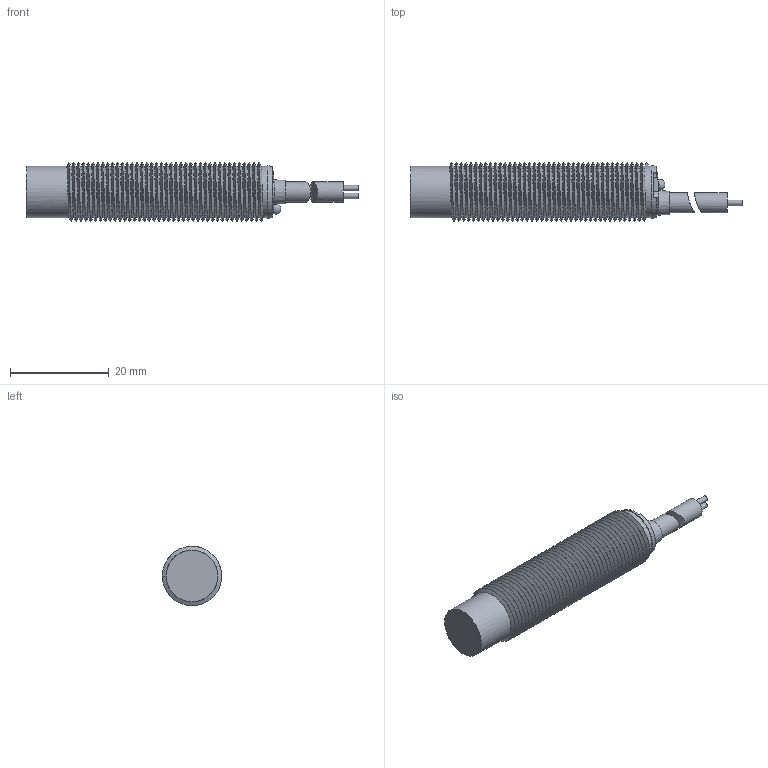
import cadquery as cq
import math


CORE_RADIUS = 5.25
THREAD_RADIUS = 6.03
THREAD_PITCH = 0.99
TURNS_PER_SECTION = 2
THREAD_SECTIONS = 20
SECTION_LENGTH = THREAD_PITCH * TURNS_PER_SECTION
THREAD_START = 8.43
THREAD_BASE_WIDTH = 0.84
THREAD_ROOT_OVERLAP = 0.1

COLLAR_START = 49.0
COLLAR_RADIUS = 5.38
COLLAR_END = 50.0
COLLAR_END_RADIUS = 5.23
DOME_TIP = 50.45

NOTCH_FLOOR = 49.4
NOTCH_Y_MIN = -1.1
NOTCH_Y_MAX = 2.92
NOTCH_Z_MIN = 1.0
ROUND_NOTCH_RADIUS = 1.0
ROUND_NOTCH_Y = 3.3
ROUND_NOTCH_Z = 4.2

LAMP_RADIUS = 1.08
LAMP_TIP = 51.75
LAMP_Y = 1.5
LAMP_Z = -3.4

CABLE_Y = -2.2
BUSHING_BASE_RADIUS = 2.52
BUSHING_TIP_RADIUS = 2.36
BUSHING_TAPER_START = DOME_TIP
BUSHING_END = 52.67
CABLE_RADIUS = 2.05

BREAK_START = 56.33
BREAK_MIDDLE_OFFSET = 0.45
BREAK_SLANT = 1.5
BREAK_GAP = 1.4

OVERALL_LENGTH = 67.39
WIRE_LENGTH = 3.0
WIRE_RADIUS = 0.55
WIRE_SPACING = 1.6
CABLE_END = OVERALL_LENGTH - WIRE_LENGTH


def rod(start, end, radius, y=0.0, z=0.0):
    """Cylinder along X between two X positions."""
    return cq.Workplane("YZ", origin=(start, y, z)).circle(radius).extrude(end - start)


def make_barrel():
    """Core, collar and dome, turned about the X axis."""
    dome_height = DOME_TIP - COLLAR_END
    dome_sphere_radius = (COLLAR_END_RADIUS**2 + dome_height**2) / (2 * dome_height)
    arc_radius = COLLAR_END_RADIUS / 2
    arc_x = DOME_TIP - dome_sphere_radius + math.sqrt(dome_sphere_radius**2 - arc_radius**2)
    return (
        cq.Workplane("XY")
        .moveTo(0, 0)
        .lineTo(0, CORE_RADIUS)
        .lineTo(COLLAR_START, CORE_RADIUS)
        .lineTo(COLLAR_START, COLLAR_RADIUS)
        .lineTo(COLLAR_END, COLLAR_END_RADIUS)
        .threePointArc((arc_x, arc_radius), (DOME_TIP, 0))
        .close()
        .revolve(360, (0, 0, 0), (1, 0, 0))
    )


def make_thread_section():
    """A few turns of right-handed V-shaped ridge around Z, bounded by ruled helical faces."""
    flank_slope = THREAD_BASE_WIDTH / 2 / (THREAD_RADIUS - CORE_RADIUS)
    root_radius = CORE_RADIUS - THREAD_ROOT_OVERLAP
    half_root = flank_slope * (THREAD_RADIUS - root_radius)
    tooth = [(root_radius, -half_root), (THREAD_RADIUS, 0), (root_radius, half_root)]

    helices = []
    for radius, height in tooth:
        helix = cq.Wire.makeHelix(THREAD_PITCH, SECTION_LENGTH, radius)
        helices.append(helix.translate(cq.Vector(0, 0, height)))

    faces = []
    for index, helix in enumerate(helices):
        faces.append(cq.Face.makeRuledSurface(helix, helices[index - 1]))
    for end in (0, SECTION_LENGTH):
        corners = [cq.Vector(radius, 0, height + end) for radius, height in tooth]
        faces.append(cq.Face.makeFromWires(cq.Wire.makePolygon(corners, close=True)))
    return cq.Solid.makeSolid(cq.Shell.makeShell(faces))


def make_thread_sections():
    """The whole thread as a row of equal sections, starting on the +Y side."""
    section = (
        cq.Workplane(make_thread_section())
        .rotate((0, 0, 0), (0, 1, 0), 90)
        .rotate((0, 0, 0), (1, 0, 0), 90)
        .val()
    )
    sections = []
    for index in range(THREAD_SECTIONS):
        sections.append(section.translate(cq.Vector(THREAD_START + index * SECTION_LENGTH, 0, 0)))
    return sections


def make_notches():
    """Cutters for the straight and the round notch of the back face."""
    depth = DOME_TIP - NOTCH_FLOOR
    straight = cq.Workplane("XY").box(
        depth,
        NOTCH_Y_MAX - NOTCH_Y_MIN,
        COLLAR_RADIUS - NOTCH_Z_MIN,
        centered=False,
    ).translate((NOTCH_FLOOR, NOTCH_Y_MIN, NOTCH_Z_MIN))
    rounded = rod(NOTCH_FLOOR, DOME_TIP, ROUND_NOTCH_RADIUS, ROUND_NOTCH_Y, ROUND_NOTCH_Z)
    return straight.union(rounded)


def make_lamp():
    """Ball that is partly sunk into the domed back face."""
    return cq.Workplane("XY").sphere(LAMP_RADIUS).translate((LAMP_TIP - LAMP_RADIUS, LAMP_Y, LAMP_Z))


def make_bushing():
    """Cable bushing: a straight base and a slightly tapered sleeve."""
    return (
        cq.Workplane("XY")
        .moveTo(COLLAR_START, 0)
        .lineTo(COLLAR_START, BUSHING_BASE_RADIUS)
        .lineTo(BUSHING_TAPER_START, BUSHING_BASE_RADIUS)
        .lineTo(BUSHING_END, BUSHING_TIP_RADIUS)
        .lineTo(BUSHING_END, 0)
        .close()
        .revolve(360, (0, 0, 0), (1, 0, 0))
        .translate((0, CABLE_Y, 0))
    )


def make_housing():
    """Sensor housing with its thread, lamp and cable bushing."""
    plain_housing = make_barrel().cut(make_notches()).union(make_lamp()).union(make_bushing())
    threaded_housing = plain_housing.val().fuse(*make_thread_sections())
    return cq.Workplane(threaded_housing).solids()


def make_break_gap():
    """Cutter for the gap in the cable, bounded by two equal arcs."""
    y_top = CABLE_Y + CABLE_RADIUS
    y_bottom = CABLE_Y - CABLE_RADIUS
    near_middle = BREAK_START + BREAK_MIDDLE_OFFSET
    near_bottom = BREAK_START + BREAK_SLANT
    return (
        cq.Workplane("XY")
        .moveTo(BREAK_START, y_top)
        .threePointArc((near_middle, CABLE_Y), (near_bottom, y_bottom))
        .lineTo(near_bottom + BREAK_GAP, y_bottom)
        .threePointArc((near_middle + BREAK_GAP, CABLE_Y), (BREAK_START + BREAK_GAP, y_top))
        .close()
        .extrude(CABLE_RADIUS, both=True)
    )


def make_cable_pieces():
    """The two lengths of cable; the free one carries the bare wires."""
    pieces = rod(BUSHING_END, CABLE_END, CABLE_RADIUS, CABLE_Y).cut(make_break_gap())
    stub = cq.Workplane(pieces.solids("<X").val())
    free_end = cq.Workplane(pieces.solids(">X").val())
    for side in (-1, 1):
        wire_z = side * WIRE_SPACING / 2
        free_end = free_end.union(rod(CABLE_END, OVERALL_LENGTH, WIRE_RADIUS, CABLE_Y, wire_z))
    return stub, free_end


housing = make_housing()
cable_stub, cable_free_end = make_cable_pieces()

result = cq.Compound.makeCompound([housing.val(), cable_stub.val(), cable_free_end.val()])